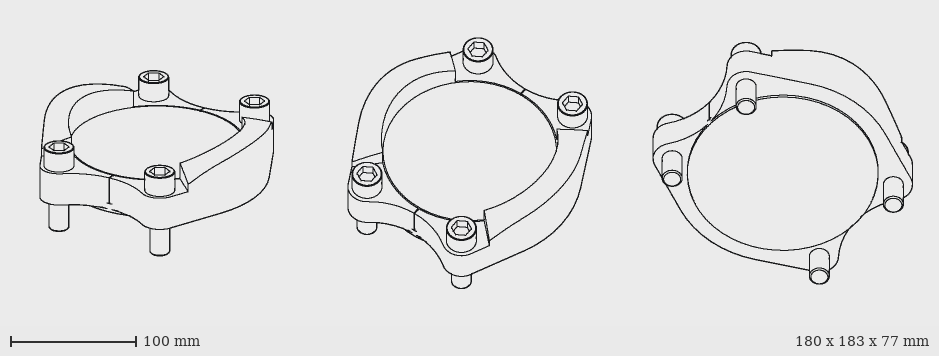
import cadquery as cq
import math

clamp_height = 27.5
side_radius = 90.0
waist_radius = 62.7
waist_half_width = 76.12
bolt_x = 46.3
bolt_y = 76.2
lug_radius = 15.3
split_gap = 0.6

guard_peak = 49.7
guard_arch_radius = 152.4
guard_half_angle = 45.0

bore_diameter = 140.8
plug_diameter = 138.5
flange_diameter = 152.4
flange_bottom = -2.6
flange_top = 4.9

bolt_diameter = 16.0
bolt_bottom = -27.3
bolt_tip_chamfer = 1.2
head_diameter = 24.0
head_height = 16.6
head_chamfer = 0.6
socket_across_flats = 14.0
socket_depth = 8.0
socket_sides = 6
socket_turn = 90


def polar(radius, angle, center=(0, 0)):
    return (center[0] + radius * math.cos(angle), center[1] + radius * math.sin(angle))


def mirror_x(point):
    return (-point[0], point[1])


def mirror_y(point):
    return (point[0], -point[1])


def opposite(point):
    return (-point[0], -point[1])


def clamp_outline():
    """Wire of the outer shape: side arcs, straight tangents, lugs and concave waists."""
    lug = (bolt_x, bolt_y)
    lug_distance = math.hypot(bolt_x, bolt_y)
    tangent_angle = math.atan2(bolt_y, bolt_x) - math.acos((side_radius - lug_radius) / lug_distance)
    side_end = polar(side_radius, tangent_angle)
    lug_start = polar(lug_radius, tangent_angle, lug)
    waist_center_y = waist_half_width + waist_radius
    waist_angle = math.atan2(waist_center_y - bolt_y, -bolt_x)
    lug_end = polar(lug_radius, waist_angle, lug)
    lug_middle = polar(lug_radius, (tangent_angle + waist_angle) / 2, lug)
    waist_middle = (0, waist_half_width)

    return (
        cq.Workplane("XY")
        .moveTo(*mirror_y(side_end))
        .threePointArc((side_radius, 0), side_end)
        .lineTo(*lug_start)
        .threePointArc(lug_middle, lug_end)
        .threePointArc(waist_middle, mirror_x(lug_end))
        .threePointArc(mirror_x(lug_middle), mirror_x(lug_start))
        .lineTo(*mirror_x(side_end))
        .threePointArc((-side_radius, 0), opposite(side_end))
        .lineTo(*opposite(lug_start))
        .threePointArc(opposite(lug_middle), opposite(lug_end))
        .threePointArc(mirror_y(waist_middle), mirror_y(lug_end))
        .threePointArc(mirror_y(lug_middle), mirror_y(lug_start))
        .close()
    )


def make_guards():
    """Two raised walls filling the side sectors of the outline under an arched top."""
    reach = 2 * side_radius
    spread = reach * math.tan(math.radians(guard_half_angle))
    sectors = (
        cq.Workplane("XY")
        .polyline([(0, 0), (reach, -spread), (reach, spread)]).close()
        .polyline([(0, 0), (-reach, spread), (-reach, -spread)]).close()
        .extrude(guard_peak)
    )
    arch = (
        cq.Workplane("YZ")
        .center(0, guard_peak - guard_arch_radius)
        .circle(guard_arch_radius)
        .extrude(reach, both=True)
    )
    return clamp_outline().extrude(guard_peak).intersect(sectors).intersect(arch)


def make_clamp():
    """Clamp ring with its guards, bored through and slit along the YZ plane."""
    bore = cq.Workplane("XY").circle(bore_diameter / 2).extrude(guard_peak)
    slit = cq.Workplane("XY").box(
        split_gap, 2 * side_radius, clamp_height, centered=(True, True, False)
    )
    return clamp_outline().extrude(clamp_height).union(make_guards()).cut(bore).cut(slit)


def make_flange():
    """Wide flange with a plug that rises flush with the clamp's top face."""
    flange = (
        cq.Workplane("XY", origin=(0, 0, flange_bottom))
        .circle(flange_diameter / 2)
        .extrude(flange_top - flange_bottom)
    )
    plug = cq.Workplane("XY").circle(plug_diameter / 2).extrude(clamp_height)
    return flange.union(plug)


def make_bolt():
    """Socket head bolt on the Z axis, its head resting on the clamp's top face."""
    shank = (
        cq.Workplane("XY", origin=(0, 0, bolt_bottom))
        .circle(bolt_diameter / 2)
        .extrude(clamp_height - bolt_bottom)
        .faces("<Z").chamfer(bolt_tip_chamfer)
    )
    head_top = clamp_height + head_height
    socket_corner_diameter = socket_across_flats / math.cos(math.pi / socket_sides)
    socket = (
        cq.Workplane("XY", origin=(0, 0, head_top - socket_depth))
        .polygon(socket_sides, socket_corner_diameter)
        .extrude(socket_depth)
        .rotate((0, 0, 0), (0, 0, 1), socket_turn)
    )
    head = (
        cq.Workplane("XY", origin=(0, 0, clamp_height))
        .circle(head_diameter / 2)
        .extrude(head_height)
        .faces(">Z").chamfer(head_chamfer)
        .cut(socket)
    )
    return shank.union(head)


result = make_clamp().union(make_flange())
for x in (-bolt_x, bolt_x):
    for y in (-bolt_y, bolt_y):
        result = result.union(make_bolt().translate((x, y, 0)))